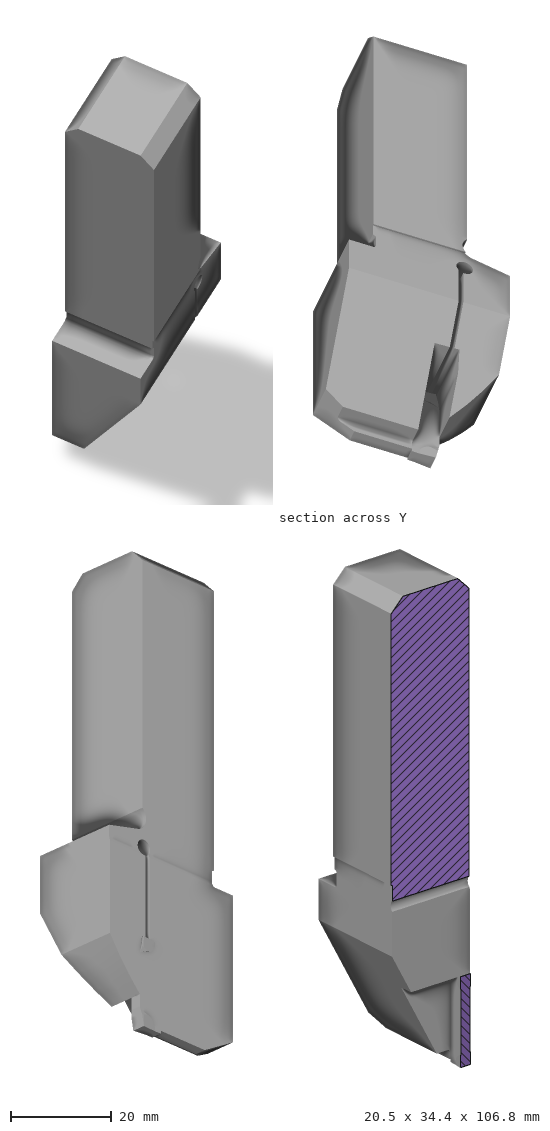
import cadquery as cq
import math


shank_width = 20.0
shank_depth = 20.0
holder_top = 106.0
shank_chamfer = 3.0

head_back = -5.1
head_depth = 34.4
head_front = head_back + head_depth
head_top = 37.1
head_proud = 0.2
head_ramp_bottom = 37.4
head_ramp_top = 38.3
head_side = 19.65
head_side_top = 43.8
corner_run = 7.9
corner_rise = 4.5

neck_depth = 0.65
neck_top = 40.6
neck_lip = 41.0
neck_fillet = 0.65

undercut_radius = 3.0
undercut_depth = 1.0
undercut_center_z = 45.7
shoulder_z = 40.9

jaw_corner_z = 16.8
jaw_bulge = (25.0, 10.7)
jaw_tip_z = 6.1

taper_top = 28.2
taper_foot_x = 5.7
blade_height = 2.15
blade_side = 2.3
blade_fillet = 0.6

slot_width = 1.0
slot_center_y = 18.8
slot_hole_y = 19.6
slot_hole_z = 39.15
slot_hole_radius = 1.75

insert_tip_low = -0.79
insert_tip_high = 19.2
insert_seat_y = 15.1
insert_crown_y = 20.95
insert_edge_y = 20.1
insert_crown_run = 4.2
insert_relief = 0.15
insert_mid_z = (insert_tip_low + insert_tip_high) / 2
cutting_width = 3.0
cutting_side = -0.5
cutting_far = cutting_side + cutting_width
web_side = -head_proud
web_width = cutting_width - 2 * (web_side - cutting_side)
cheek_bottom_y = 16.7
cheek_length = 3.0
cheek_crown_length = 3.8
cheek_ramp = 1.3
cheek_radius = 2.5
pocket_clearance = 0.25


def side_profile(points):
    """Closed polygon in the YZ plane."""
    return cq.Workplane("YZ").polyline(points).close()


def build_side_body():
    """Holder outline seen along X, extruded across the full width."""
    center_y = shank_depth - undercut_depth + undercut_radius
    arc_start_z = undercut_center_z + math.sqrt(undercut_radius**2 - (center_y - shank_depth) ** 2)

    run = head_front - center_y
    drop = undercut_center_z - shoulder_z
    tangent_length = math.sqrt(run**2 + drop**2 - undercut_radius**2)
    slope = math.atan2(drop, run) - math.atan2(undercut_radius, tangent_length)
    arc_end = (
        center_y - undercut_radius * math.sin(slope),
        undercut_center_z - undercut_radius * math.cos(slope),
    )
    arc_middle = (center_y - undercut_radius, undercut_center_z)

    fillet_mid = neck_fillet * (1 - math.sqrt(0.5))
    return (
        cq.Workplane("YZ", origin=(-head_proud, 0, 0))
        .moveTo(0, holder_top)
        .lineTo(shank_depth, holder_top)
        .lineTo(shank_depth, arc_start_z)
        .threePointArc(arc_middle, arc_end)
        .lineTo(head_front, shoulder_z)
        .lineTo(head_front, jaw_corner_z)
        .threePointArc(jaw_bulge, (insert_crown_y, jaw_tip_z))
        .lineTo(insert_crown_y, 0)
        .lineTo(head_back + corner_run, 0)
        .lineTo(head_back, corner_rise)
        .lineTo(head_back, head_top)
        .lineTo(neck_depth - neck_fillet, head_top)
        .threePointArc(
            (neck_depth - fillet_mid, head_top + fillet_mid),
            (neck_depth, head_top + neck_fillet),
        )
        .lineTo(neck_depth, neck_top)
        .lineTo(0, neck_lip)
        .close()
        .extrude(shank_width + head_proud)
    )


def build_front_body():
    """Holder outline seen along Y, extruded across the full depth."""
    fillet_mid = blade_fillet * (1 - math.sqrt(0.5))
    return (
        cq.Workplane("XZ", origin=(0, head_front, 0))
        .moveTo(0, holder_top - shank_chamfer)
        .lineTo(shank_chamfer, holder_top)
        .lineTo(shank_width - shank_chamfer, holder_top)
        .lineTo(shank_width, holder_top - shank_chamfer)
        .lineTo(shank_width, head_side_top)
        .lineTo(head_side, head_side_top)
        .lineTo(head_side, taper_top)
        .lineTo(taper_foot_x, blade_height)
        .lineTo(blade_side + blade_fillet, blade_height)
        .threePointArc(
            (blade_side + fillet_mid, blade_height - fillet_mid),
            (blade_side, blade_height - blade_fillet),
        )
        .lineTo(blade_side, 0)
        .lineTo(-head_proud, 0)
        .lineTo(-head_proud, head_ramp_bottom)
        .lineTo(0, head_ramp_top)
        .close()
        .extrude(head_depth)
    )


def build_clamping_slot():
    """Relief hole and the saw slot running from it down to the insert."""
    through = 2 * shank_width
    hole = (
        cq.Workplane("YZ")
        .center(slot_hole_y, slot_hole_z)
        .circle(slot_hole_radius)
        .extrude(through, both=True)
    )
    slot_height = slot_hole_z - insert_mid_z
    slot = (
        cq.Workplane("YZ")
        .center(slot_center_y, slot_hole_z - slot_height / 2)
        .rect(slot_width, slot_height)
        .extrude(through, both=True)
    )
    return hole.union(slot)


def insert_outline():
    """Insert seen along X: crowned top, dropped cutting edges, relieved ends."""
    return [
        (insert_seat_y, insert_tip_low + insert_relief),
        (insert_edge_y, insert_tip_low),
        (insert_crown_y, insert_tip_low + insert_crown_run),
        (insert_crown_y, insert_tip_high - insert_crown_run),
        (insert_edge_y, insert_tip_high),
        (insert_seat_y, insert_tip_high - insert_relief),
    ]


def build_insert_pocket():
    """Opening across the holder for the insert, clear of its upper cutting edge."""
    return side_profile(
        [
            (insert_seat_y, insert_tip_low),
            (insert_crown_y, insert_tip_low),
            (insert_crown_y, insert_tip_high - insert_crown_run),
            (insert_edge_y + pocket_clearance, insert_tip_high),
            (insert_edge_y, insert_tip_high),
            (insert_seat_y, insert_tip_high - insert_relief),
        ]
    ).extrude(2 * shank_width, both=True)


def build_holder():
    body = build_side_body().intersect(build_front_body())
    return body.cut(build_clamping_slot()).cut(build_insert_pocket())


def build_cheek_zone():
    """Zone of the wide cheeks at the lower end: rounded inner corner, ramped down to the web."""
    zone_top = insert_tip_low + cheek_length
    crown_top = insert_tip_low + cheek_crown_length
    outline = (
        cq.Workplane("YZ", origin=(cutting_side, 0, 0))
        .moveTo(cheek_bottom_y, insert_tip_low)
        .lineTo(insert_crown_y, insert_tip_low)
        .lineTo(insert_crown_y, crown_top)
        .lineTo(cheek_bottom_y + cheek_radius, zone_top)
        .radiusArc((cheek_bottom_y, zone_top - cheek_radius), -cheek_radius)
        .close()
        .extrude(cutting_width)
    )
    ramps = (
        cq.Workplane("XZ")
        .polyline(
            [
                (cutting_side, insert_tip_low),
                (cutting_side, crown_top - cheek_ramp),
                (web_side, crown_top),
                (web_side + web_width, crown_top),
                (cutting_far, crown_top - cheek_ramp),
                (cutting_far, insert_tip_low),
            ]
        )
        .close()
        .extrude(-insert_crown_y)
    )
    return outline.intersect(ramps)


def build_insert():
    """Double-ended cutting insert: narrow web with wide cheeks at both ends."""
    web = (
        cq.Workplane("YZ", origin=(web_side, 0, 0))
        .polyline(insert_outline())
        .close()
        .extrude(web_width)
    )
    wedge = (
        cq.Workplane("XY", origin=(0, 0, insert_tip_low))
        .polyline(
            [
                (web_side, cheek_bottom_y),
                (cutting_side, insert_edge_y),
                (cutting_side, insert_crown_y),
                (cutting_far, insert_crown_y),
                (cutting_far, insert_edge_y),
                (web_side + web_width, cheek_bottom_y),
            ]
        )
        .close()
        .extrude(insert_tip_high - insert_tip_low)
    )
    envelope = side_profile(insert_outline()).extrude(2 * cutting_width, both=True)
    lower_zone = build_cheek_zone()
    upper_zone = lower_zone.mirror("XY", (0, 0, insert_mid_z))
    wide = wedge.intersect(envelope)
    return web.union(wide.intersect(lower_zone)).union(wide.intersect(upper_zone))


holder = build_holder()
insert = build_insert()

result = cq.Compound.makeCompound([holder.solids().val(), insert.solids().val()])